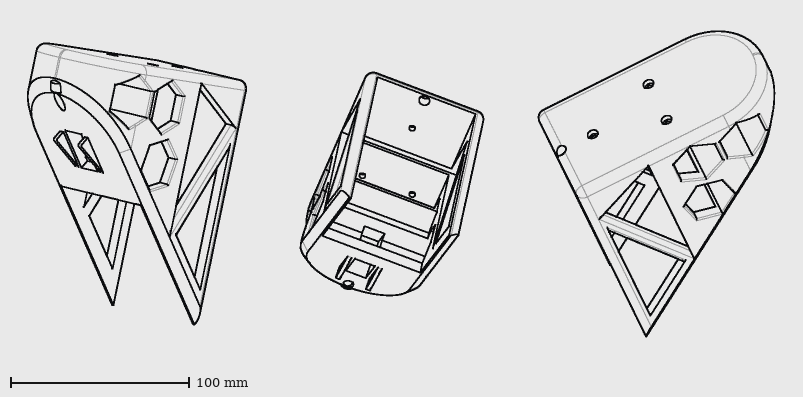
import cadquery as cq
import math

TILT = 18.0

WIDTH = 71.0
LENGTH = 128.5
BACK_HEIGHT = 139.9
NOSE_RADIUS = 35.0
EDGE_ROUND = 5.0
BEVEL = 5.0
SLOPE = 42.5

SIDE_WALL = 6.0
MOUNT_THICKNESS = 7.4
CAVITY_LENGTH = 67.2

SCREW_DIAMETER = 3.3
HEAD_DIAMETER = 6.0
HEAD_DEPTH = 3.5
SCREW_SPACING = 30.0
REAR_SCREW = 23.5
FRONT_SCREWS = 64.1
BACK_HOLE = 3.6

HEX_RADIUS = 14.9
HEX_ROUND = 0.9
HEX_PITCH = 29.0
REAR_HEX = (-69.5, -21.3)
LOWER_HEX = (-65.8, -54.0)

TRIANGLE_FRONT = 43.5
BAR_ANGLE = 60.0
TRIANGLE_BACK = 5.5
BAR_FLAT = 2.9
BAR_ROUND = 2.4
BAR_TANGENT_Z = -17.3
LOWER_BACK_STRIP = 7.4
LOWER_FRONT_STRIP = 10.0

STRAP_START = 111.0
STRAP_WIDTH = 12.0
STRAP_LENGTH = 28.6
STRAP_DEPTH = 22.3
FIN_GAP = 15.8
FIN_WIDTH = 2.4
FIN_LENGTH = 27.0
FIN_HEIGHT = 7.0
FIN_ROUND = 1.0

SOCKET_Y = -120.3
SOCKET_LEAN = 23.0
SOCKET_DIAMETER = 5.7
SOCKET_DEPTH = 10.3
BOSS_DIAMETER = 11.0
BOSS_WIDTH = 7.9
BOSS_SETBACK = 1.5
BOSS_START = 6.0
BOSS_END = 13.7
BOSS_TOP_CHAMFER = 1.5
BOSS_BOTTOM_CHAMFER = 0.9

MARGIN = 17.1

rise = math.tan(math.radians(SLOPE))
run_unit = math.cos(math.radians(SLOPE))
rise_unit = math.sin(math.radians(SLOPE))
bar_slope = math.tan(math.radians(BAR_ANGLE))


def on_slope(along, outward=0.0):
    """Point (y, z) at a distance up the front plate and outward from its face."""
    y = -along * run_unit - outward * rise_unit
    z = -BACK_HEIGHT + along * rise_unit - outward * run_unit
    return y, z


def across(points, width):
    """Prism with a (y, z) outline, centred on X = 0."""
    return cq.Workplane("YZ").polyline(points).close().extrude(width / 2, both=True)


def outer_body():
    """Round-nosed block cut off along the sloping front plate, with its outer edges broken."""
    body = (
        cq.Workplane("XY")
        .rect(WIDTH, LENGTH)
        .extrude(-BACK_HEIGHT)
        .translate((0, -LENGTH / 2, 0))
        .edges("|Z and <Y")
        .fillet(NOSE_RADIUS)
    )
    slope_length = LENGTH / run_unit
    below_plate = [
        on_slope(-MARGIN),
        on_slope(slope_length + MARGIN),
        on_slope(slope_length + MARGIN, BACK_HEIGHT),
        on_slope(-MARGIN, BACK_HEIGHT),
    ]
    body = body.cut(across(below_plate, WIDTH + MARGIN))
    plate = [face for face in body.faces().vals() if abs(face.normalAt().z + run_unit) < 0.01]
    body = body.newObject(plate).edges("not >Y").chamfer(BEVEL)
    body = body.edges("|Z and >Y").fillet(EDGE_ROUND)
    return body.faces(">Z").edges().fillet(EDGE_ROUND)


def hexagon(center, first_corner):
    """Hexagonal prism across the body with one corner at the given angle in the YZ plane."""
    corners = []
    for i in range(6):
        angle = math.radians(first_corner + 60 * i)
        y = center[0] + HEX_RADIUS * math.cos(angle)
        z = center[1] + HEX_RADIUS * math.sin(angle)
        corners.append((y, z))
    return across(corners, WIDTH + MARGIN)


def cut_hexagon(body, center, first_corner):
    """Cut a hexagonal tunnel and round both of its rims."""
    body = body.cut(hexagon(center, first_corner))
    rims = [
        edge
        for edge in body.edges("not |X").vals()
        if math.hypot(edge.Center().y - center[0], edge.Center().z - center[1]) < HEX_RADIUS
    ]
    return body.newObject(rims).fillet(HEX_ROUND)


def cavity():
    """Space between the side walls, open to the back and to the bottom."""
    outline = [
        (MARGIN, -MOUNT_THICKNESS),
        (-CAVITY_LENGTH, -MOUNT_THICKNESS),
        (-CAVITY_LENGTH, -BACK_HEIGHT - MARGIN),
        (MARGIN, -BACK_HEIGHT - MARGIN),
    ]
    return across(outline, WIDTH - 2 * SIDE_WALL)


def upper_triangle():
    """Right triangle with its square corner at the back and its long side along the bar."""
    bar_top = BAR_TANGENT_Z + BAR_ROUND / math.cos(math.radians(BAR_ANGLE))
    corner_y = -TRIANGLE_BACK - BAR_ROUND * math.cos(math.radians(90 - BAR_ANGLE))
    corner = (corner_y, bar_top + corner_y * bar_slope)
    top = (-TRIANGLE_FRONT, corner[1] + (TRIANGLE_FRONT + corner_y) / bar_slope)
    bottom = (-TRIANGLE_FRONT, bar_top - TRIANGLE_FRONT * bar_slope)
    return across([corner, top, bottom], WIDTH + MARGIN)


def lower_triangle():
    """Triangle between the bar, the back edge and the front edge of the leg."""
    bar_width = BAR_FLAT + BAR_ROUND
    bar_bottom = BAR_TANGENT_Z - bar_width / math.cos(math.radians(BAR_ANGLE))
    front_z = -BACK_HEIGHT + LOWER_FRONT_STRIP / run_unit
    front_y = (front_z - bar_bottom) / (bar_slope + rise)
    outline = [
        (-LOWER_BACK_STRIP, bar_bottom - LOWER_BACK_STRIP * bar_slope),
        (front_y, bar_bottom + front_y * bar_slope),
        (-LOWER_BACK_STRIP, front_z + LOWER_BACK_STRIP * rise),
    ]
    return across(outline, WIDTH + MARGIN)


def cut_leg_triangles(body):
    """Cut the triangular openings and round the outer edges of the bar between them."""
    body = body.cut(upper_triangle()).cut(lower_triangle())
    bar_direction = cq.Vector(0, 1, bar_slope)
    for side in ("<X", ">X"):
        bar_edges = body.faces(side).edges(cq.selectors.ParallelDirSelector(bar_direction))
        body = bar_edges.fillet(BAR_ROUND)
    return body


def screw_hole(x, distance):
    """Counterbored hole through the mounting plate."""
    shank = cq.Workplane("XY").circle(SCREW_DIAMETER / 2).extrude(-MOUNT_THICKNESS - 1.7)
    head = cq.Workplane("XY").circle(HEAD_DIAMETER / 2).extrude(-HEAD_DEPTH)
    return shank.union(head).translate((x, -distance, 0))


def back_hole():
    """Plain hole through the rounded back edge of the mounting plate."""
    return cq.Workplane("XY").center(0, -BACK_HOLE).circle(HEAD_DIAMETER / 2).extrude(-MOUNT_THICKNESS - 1.7)


def strap_window():
    """Rectangular pocket square to the front plate, reaching into the lower hexagon."""
    outline = [
        on_slope(STRAP_START, MARGIN),
        on_slope(STRAP_START + STRAP_LENGTH, MARGIN),
        on_slope(STRAP_START + STRAP_LENGTH, -STRAP_DEPTH),
        on_slope(STRAP_START, -STRAP_DEPTH),
    ]
    return across(outline, STRAP_WIDTH)


def fin(side):
    """Triangular fin standing on the front plate, with a rounded tip."""
    outline = [
        on_slope(STRAP_START),
        on_slope(STRAP_START + FIN_LENGTH),
        on_slope(STRAP_START + FIN_LENGTH, FIN_HEIGHT),
    ]
    blade = across(outline, FIN_WIDTH).edges("|X and <Y").fillet(FIN_ROUND)
    return blade.translate((side * (FIN_GAP + FIN_WIDTH) / 2, 0, 0))


def socket_plane():
    """Plane across the socket axis where the axis meets the front plate."""
    lean = math.radians(SOCKET_LEAN)
    origin = (0, SOCKET_Y, -BACK_HEIGHT - SOCKET_Y * rise)
    return cq.Plane(origin=origin, xDir=(1, 0, 0), normal=(0, -math.sin(lean), math.cos(lean)))


def socket_boss():
    """Round boss with chamfered ends and two flat sides."""
    length = BOSS_END - BOSS_START
    boss = cq.Workplane("XY").circle(BOSS_DIAMETER / 2).extrude(length)
    boss = boss.faces(">Z").chamfer(BOSS_TOP_CHAMFER).faces("<Z").chamfer(BOSS_BOTTOM_CHAMFER)
    flats = cq.Workplane("XY").rect(BOSS_WIDTH, BOSS_DIAMETER).extrude(length)
    boss = boss.intersect(flats).translate((0, BOSS_SETBACK, BOSS_START))
    return cq.Workplane(boss.val().moved(cq.Location(socket_plane())))


def socket_bore():
    """Blind bore that opens on the front plate and ends inside the boss."""
    bore = cq.Workplane(socket_plane()).workplane(offset=-MARGIN)
    return bore.circle(SOCKET_DIAMETER / 2).extrude(MARGIN + SOCKET_DEPTH)


bracket = outer_body()
bracket = cut_hexagon(bracket, REAR_HEX, 90)
bracket = cut_hexagon(bracket, (REAR_HEX[0] - HEX_PITCH, REAR_HEX[1]), 90)
bracket = cut_hexagon(bracket, LOWER_HEX, TILT)
bracket = cut_leg_triangles(bracket)
bracket = bracket.cut(cavity())

bracket = bracket.cut(screw_hole(0, REAR_SCREW))
for side in (-1, 1):
    bracket = bracket.cut(screw_hole(side * SCREW_SPACING / 2, FRONT_SCREWS))
    bracket = bracket.union(fin(side))
bracket = bracket.cut(back_hole()).cut(strap_window())
bracket = bracket.union(socket_boss()).cut(socket_bore())

result = bracket.rotate((0, 0, 0), (1, 0, 0), -TILT)